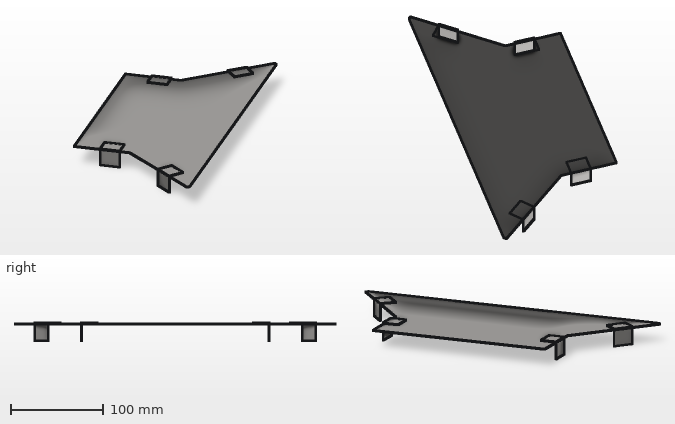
import cadquery as cq
import math

plate_width = 150.3
plate_length = 347.0
plate_thickness = 1.0
narrow_length = 202.5
shoulder_x = 62.8
tip_x = 147.8
tip_drop = 2.5

clip_width = 22.2
clip_depth = 18.0
clip_height = 19.8
clip_thickness = 1.0
straight_clip_x = 40.5
slanted_clip_distance = 67.0

half_length = plate_length / 2
half_narrow = narrow_length / 2
slant_angle = math.degrees(math.atan2(half_length - half_narrow, tip_x - shoulder_x))


def make_plate():
    """Thin plate with two slanted edges and blunted tips; its top is at z = 0."""
    half_outline = [
        (0, half_narrow),
        (shoulder_x, half_narrow),
        (tip_x, half_length),
        (plate_width, half_length - tip_drop),
    ]
    mirrored_outline = [(x, -y) for x, y in reversed(half_outline)]
    return (
        cq.Workplane("XY")
        .polyline(half_outline + mirrored_outline)
        .close()
        .extrude(-plate_thickness)
    )


def make_clip(edge_x, edge_y, angle):
    """Clip whose inner corner lies on the plate's top edge, turned by angle about Z."""
    profile = [
        (clip_thickness, clip_thickness),
        (clip_thickness - clip_depth, clip_thickness),
        (clip_thickness - clip_depth, 0),
        (0, 0),
        (0, clip_thickness - clip_height),
        (clip_thickness, clip_thickness - clip_height),
    ]
    return (
        cq.Workplane("YZ")
        .polyline(profile)
        .close()
        .extrude(clip_width / 2, both=True)
        .rotate((0, 0, 0), (0, 0, 1), angle)
        .translate((edge_x, edge_y, 0))
    )


plate = make_plate()

slanted_clip_x = shoulder_x + slanted_clip_distance * math.cos(math.radians(slant_angle))
slanted_clip_y = half_narrow + slanted_clip_distance * math.sin(math.radians(slant_angle))
clip_places = [
    (straight_clip_x, half_narrow, 0),
    (slanted_clip_x, slanted_clip_y, slant_angle),
]
clips = []
for place in clip_places:
    clip = make_clip(*place)
    clips.append(clip)
    clips.append(clip.mirror("XZ"))

result = cq.Compound.makeCompound([plate.val(), *[clip.val() for clip in clips]])